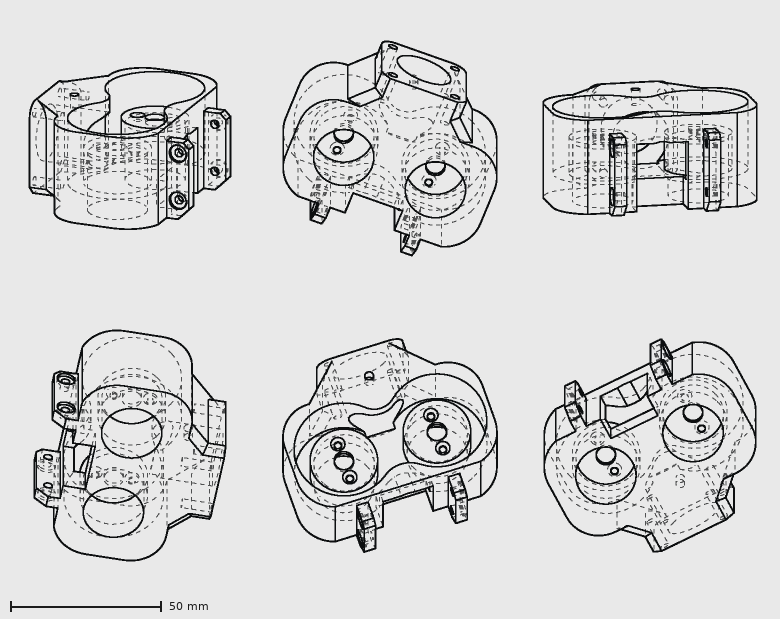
import cadquery as cq
import math

overall_length = 58.4
overall_width = 69.07
half_width = overall_width / 2
height = 32.0
body_left = -19.0
body_right = 18.4
left_corner_radius = 12.0
right_corner_radius = 13.0
right_corner_reach = 19.0
overlap = 1.0

cup_spacing = 32.5
cup_y = cup_spacing / 2
cup_radius = 16.5
floor_height = 9.4
left_neck_radius = 7.1
right_neck_radius = 10.0

boss_diameter = 22.4
boss_top = 21.75
boss_roof = 1.8
motor_diameter = 20.0
shaft_hole_diameter = 6.4
boss_screw_diameter = 2.4
boss_screw_head_diameter = 4.7
boss_screw_head_angle = 90.0
boss_screw_offset = 6.2

flange_x = -32.0
flange_width = 30.0
flange_corner_radius = 5.0
taper_half_width = 22.0
bottom_chamfer = 3.0
bore_diameter = 19.0
bore_z = 17.45
bore_end = -9.95
flange_hole_diameter = 2.9
flange_hole_depth = 10.0
flange_hole_y = 11.0
flange_hole_z = (4.0, 28.0)
top_hole_diameter = 2.9
top_hole_x = -22.1

window_left = 10.85
window_width = 17.5
window_top = 22.95
arch_radius = 6.0

lug_end = flange_x + overall_length
lug_height = 27.0
lug_inner_y = 14.0
lug_thickness = 4.0
lug_top_chamfer = 2.0
lug_bottom_chamfer = 4.0
lug_hole_x = 22.4
lug_hole_z = (6.5, 23.0)
lug_hole_diameter = 2.8
lug_counterbore_diameter = 6.0
lug_counterbore_depth = 1.0


def box(x_range, y_range, z_range):
    """Box given by its limits along each axis."""
    size = [limits[1] - limits[0] for limits in (x_range, y_range, z_range)]
    corner = (x_range[0], y_range[0], z_range[0])
    return cq.Workplane("XY").box(*size, centered=False).translate(corner)


def rod_x(diameter, x_range, y, z):
    """Cylinder along X."""
    plane = cq.Workplane("YZ", origin=(x_range[0], y, z))
    return plane.circle(diameter / 2).extrude(x_range[1] - x_range[0])


def rod_z(diameter, z_range, x, y):
    """Cylinder along Z."""
    plane = cq.Workplane("XY", origin=(x, y, z_range[0]))
    return plane.circle(diameter / 2).extrude(z_range[1] - z_range[0])


def make_body():
    """Rounded block, trimmed flat on the right."""
    block = box((body_left, right_corner_reach), (-half_width, half_width), (0, height))
    block = block.edges("|Z and <X").fillet(left_corner_radius)
    block = block.edges("|Z and >X").fillet(right_corner_radius)
    keep = box((body_left, body_right), (-half_width, half_width), (0, height))
    return block.intersect(keep)


def make_taper():
    """Neck narrowing at 45 degrees from the body to the flange face."""
    tip_half_width = taper_half_width - (body_left - flange_x)
    outline = [
        (0, taper_half_width),
        (body_left, taper_half_width),
        (flange_x, tip_half_width),
        (flange_x, -tip_half_width),
        (body_left, -taper_half_width),
        (0, -taper_half_width),
    ]
    taper = cq.Workplane("XY").polyline(outline).close().extrude(height)
    return taper.faces("<Z").edges("not (|X or |Y)").chamfer(bottom_chamfer)


def make_flange():
    """Square flange, rounded at the top and chamfered at the bottom, running back into the taper."""
    flange_half_width = flange_width / 2
    flange = box((flange_x, body_left), (-flange_half_width, flange_half_width), (0, height))
    flange = flange.edges("|X and >Z").fillet(flange_corner_radius)
    return flange.edges("|X and <Z").chamfer(bottom_chamfer)


def make_lug(side):
    """Plate with two counterbored holes; side is +1 or -1 along Y."""
    plate = box((body_right - overlap, lug_end), (lug_inner_y, lug_inner_y + lug_thickness), (0, lug_height))
    plate = plate.edges("|Y and >X and >Z").chamfer(lug_top_chamfer)
    plate = plate.edges("|Y and >X and <Z").chamfer(lug_bottom_chamfer)
    outer_face = cq.Workplane("XZ", origin=(0, lug_inner_y + lug_thickness, 0))
    centers = [(lug_hole_x, z) for z in lug_hole_z]
    holes = outer_face.pushPoints(centers).circle(lug_hole_diameter / 2).extrude(lug_thickness)
    heads = outer_face.pushPoints(centers).circle(lug_counterbore_diameter / 2).extrude(lug_counterbore_depth)
    lug = plate.cut(holes).cut(heads)
    return lug if side > 0 else lug.mirror("XZ")


def neck_geometry(radius):
    """Distance from the centre line to a neck arc's centre, and its tangent point with a cup."""
    reach = cup_radius + radius
    center_x = math.sqrt(reach**2 - cup_y**2)
    tangent = (center_x * cup_radius / reach, cup_y * radius / reach)
    return center_x, tangent


def make_cup_cavity():
    """Two round cups joined by a waist whose convex arcs are tangent to both cups."""
    left_center, (left_x, left_y) = neck_geometry(left_neck_radius)
    right_center, (right_x, right_y) = neck_geometry(right_neck_radius)
    outline = (
        cq.Workplane("XY", origin=(0, 0, floor_height))
        .moveTo(right_x, right_y)
        .threePointArc((0, cup_y + cup_radius), (-left_x, left_y))
        .threePointArc((left_neck_radius - left_center, 0), (-left_x, -left_y))
        .threePointArc((0, -cup_y - cup_radius), (right_x, -right_y))
        .threePointArc((right_center - right_neck_radius, 0), (right_x, right_y))
        .close()
    )
    return outline.extrude(height - floor_height)


def make_boss_cutter(y):
    """Motor space, shaft hole and two countersunk screw holes of one boss."""
    cutter = rod_z(motor_diameter, (0, boss_top - boss_roof), 0, y)
    cutter = cutter.union(rod_z(shaft_hole_diameter, (0, boss_top), 0, y))
    head_depth = (boss_screw_head_diameter - boss_screw_diameter) / 2
    head_depth /= math.tan(math.radians(boss_screw_head_angle / 2))
    for x in (-boss_screw_offset, boss_screw_offset):
        head = cq.Solid.makeCone(
            boss_screw_diameter / 2,
            boss_screw_head_diameter / 2,
            head_depth,
            pnt=cq.Vector(x, y, boss_top - head_depth),
        )
        cutter = cutter.union(rod_z(boss_screw_diameter, (0, boss_top), x, y)).union(head)
    return cutter


def make_flange_cutter():
    """Central bore, four flange screw holes and the hole from the top face into the bore."""
    cutter = rod_x(bore_diameter, (flange_x, bore_end), 0, bore_z)
    for y in (-flange_hole_y, flange_hole_y):
        for z in flange_hole_z:
            x_range = (flange_x, flange_x + flange_hole_depth)
            cutter = cutter.union(rod_x(flange_hole_diameter, x_range, y, z))
    return cutter.union(rod_z(top_hole_diameter, (bore_z, height), top_hole_x, 0))


def make_window_cutter():
    """Window open to the right and to the bottom, with a small arch in its ceiling."""
    x_range = (window_left, body_right + overlap)
    window = box(x_range, (-window_width / 2, window_width / 2), (0, window_top))
    return window.union(rod_x(2 * arch_radius, x_range, 0, bore_z))


result = make_body().union(make_taper()).union(make_flange())
result = result.cut(make_cup_cavity())
for boss_y in (-cup_y, cup_y):
    result = result.union(rod_z(boss_diameter, (0, boss_top), 0, boss_y))
    result = result.cut(make_boss_cutter(boss_y))
result = result.cut(make_flange_cutter()).cut(make_window_cutter())
for lug_side in (-1, 1):
    result = result.union(make_lug(lug_side))